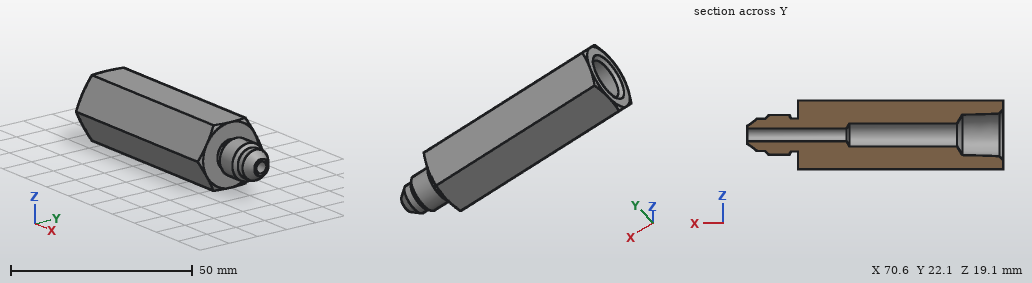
import cadquery as cq
import math

total_length = 70.6
across_flats = 19.1
across_corners = across_flats / math.cos(math.radians(30))
hex_length = 56.6

hex_chamfer_length = 0.6
corner_height = (across_corners - across_flats) / 2

neck_diameter = 9.2
collar_diameter = 11.1
collar_start = 58.55
collar_back_chamfer_length = 0.4
collar_end = 64.7
collar_front_chamfer_length = 1.05
nose_diameter = 9.0
flare_length = 2.7
tip_diameter = 4.95

mouth_diameter = 13.9
port_entry_diameter = 11.7
mouth_chamfer_depth = (mouth_diameter - port_entry_diameter) / 2
port_end_diameter = 11.1
port_depth = 11.3
passage_diameter = 6.3
passage_end = 42.4
outlet_diameter = 3.45
drill_point_angle = 118.0


def revolve_profile(points):
    """Turn a closed profile of (x, radius) points around the X axis."""
    return cq.Workplane("XY").polyline(points).close().revolve(360, (0, 0, 0), (1, 0, 0))


def drill_point_length(large_diameter, small_diameter):
    """Axial length of the drill-point cone between two diameters."""
    return (large_diameter - small_diameter) / 2 / math.tan(math.radians(drill_point_angle / 2))


def make_hex_body():
    """Hex bar with flats on top and bottom and its end corners turned down."""
    hex_bar = cq.Workplane("YZ").polygon(6, across_corners).extrude(hex_length)
    flat_radius = across_flats / 2
    corner_radius = flat_radius + corner_height
    turned_envelope = revolve_profile([
        (0, 0),
        (0, flat_radius),
        (hex_chamfer_length, corner_radius),
        (hex_length - hex_chamfer_length, corner_radius),
        (hex_length, flat_radius),
        (hex_length, 0),
    ])
    return hex_bar.intersect(turned_envelope)


def make_male_end():
    """Neck, chamfered thread collar and conical flare nose."""
    neck_radius = neck_diameter / 2
    collar_radius = collar_diameter / 2
    nose_radius = nose_diameter / 2
    neck_root = hex_length / 2
    return revolve_profile([
        (neck_root, 0),
        (neck_root, neck_radius),
        (collar_start, neck_radius),
        (collar_start + collar_back_chamfer_length, collar_radius),
        (collar_end, collar_radius),
        (collar_end + collar_front_chamfer_length, nose_radius),
        (total_length - flare_length, nose_radius),
        (total_length, tip_diameter / 2),
        (total_length, 0),
    ])


def make_bore():
    """Tapered port with a chamfered mouth, stepping down through drill points to the outlet."""
    passage_start = port_depth + drill_point_length(port_end_diameter, passage_diameter)
    outlet_start = passage_end + drill_point_length(passage_diameter, outlet_diameter)
    return revolve_profile([
        (0, 0),
        (0, mouth_diameter / 2),
        (mouth_chamfer_depth, port_entry_diameter / 2),
        (port_depth, port_end_diameter / 2),
        (passage_start, passage_diameter / 2),
        (passage_end, passage_diameter / 2),
        (outlet_start, outlet_diameter / 2),
        (total_length, outlet_diameter / 2),
        (total_length, 0),
    ])


result = make_hex_body().union(make_male_end()).cut(make_bore())